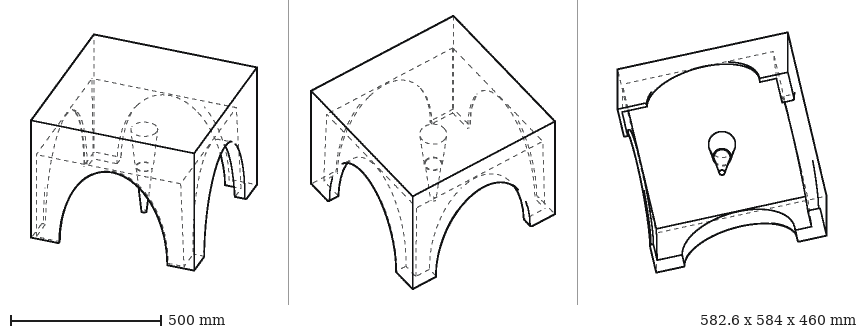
import cadquery as cq

length_x = 582.6
length_y = 584.02
height = 460.0

thin_wall = 13.0
thick_wall_at_floor = 42.0
thick_wall_at_roof = 54.0

arch_half_width = 193.0
arch_height = 317.0
arch_rim_radius = 5.0
cavity_height = arch_height + arch_rim_radius

column_tip_radius = 9.0
column_lower_radius = 27.0
column_step_height = 175.0
column_upper_radius = 30.0
column_root_radius = 45.0


def make_block():
    """Solid outer block."""
    return cq.Workplane("XY").box(length_x, length_y, height, centered=(True, True, False))


def add_cavity_outline(plane, thick_wall):
    """Rectangle between the thin walls and the thick walls at one level."""
    size_x = length_x - thin_wall - thick_wall
    size_y = length_y - thin_wall - thick_wall
    offset = (thin_wall - thick_wall) / 2
    return plane.moveTo(offset, offset).rect(size_x, size_y)


def make_cavity():
    """Flat-roofed cavity whose +X and +Y sides lean inwards towards the roof."""
    floor_outline = add_cavity_outline(cq.Workplane("XY"), thick_wall_at_floor)
    roof_plane = floor_outline.workplane(offset=cavity_height, origin=(0, 0, 0))
    return add_cavity_outline(roof_plane, thick_wall_at_roof).loft(ruled=True)


def make_tunnel(plane, length):
    """Half-elliptical tunnel standing on Z = 0, running through both opposite walls."""
    return (
        cq.Workplane(plane)
        .moveTo(arch_half_width, 0)
        .ellipseArc(arch_half_width, arch_height, 0, 180, startAtCurrent=True)
        .close()
        .extrude(length / 2, both=True)
    )


def round_arch_rim(body, face):
    """Round the arch edge on one outer side face."""
    rim = body.faces(face).edges("%ELLIPSE")
    return body.newObject(rim.vals()).fillet(arch_rim_radius)


def make_column():
    """Revolved column from the floor level up to the cavity roof."""
    return (
        cq.Workplane("XZ")
        .polyline(
            [
                (0, 0),
                (column_tip_radius, 0),
                (column_lower_radius, column_step_height),
                (column_upper_radius, column_step_height),
                (column_root_radius, cavity_height),
                (0, cavity_height),
            ]
        )
        .close()
        .revolve(360, (0, 0), (0, 1))
    )


result = make_block().cut(make_cavity())
result = result.cut(make_tunnel("XZ", length_y))
result = result.cut(make_tunnel("YZ", length_x))
for side_face in ("<X", ">X", "<Y", ">Y"):
    result = round_arch_rim(result, side_face)
result = result.union(make_column())